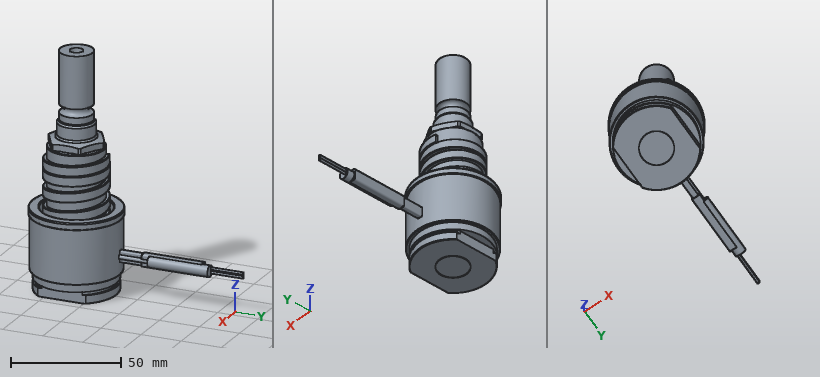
import cadquery as cq
import math

TOTAL_HEIGHT = 116.3
FOOT_TOP = 0.3
CLAMP_DISC_TOP = 4.5
CLAMP_NECK_TOP = 6.3
HOUSING_BOTTOM = 10.2
FLANGE_BOTTOM = 37.2
FLANGE_TOP = 40.5
BARREL_TOP = 70.2
NUT_BOTTOM = 70.8
NUT_CORNER_TOP = 73.6
NUT_TOP = 74.9
SLEEVE_BOTTOM = 75.8
SLEEVE_TOP = 81.6
SLEEVE_LIP = 82.6
COLLAR_BOTTOM = 83.2
COLLAR_TOP = 86.4
SHAFT_BOTTOM = 90.6

SHAFT_RADIUS = 8.0
GROOVE_RADIUS = 5.2
LIP_RADIUS = 8.3
SLEEVE_RADIUS = 9.1
NUT_FLARE_RADIUS = 9.8
NUT_NECK_RADIUS = 10.9
NUT_CORNER_RADIUS = 13.7
BARREL_RADIUS = 13.6
RECESS_RADIUS = 17.0
HOUSING_RADIUS = 21.5
FLANGE_RADIUS = 22.0
CLAMP_RADIUS = 20.0
CLAMP_NECK_RADIUS = 19.0

NUT_ACROSS_FLATS = 24.3
CLAMP_ACROSS_FLATS = 32.1
EDGE_CHAMFER = 0.3
FLANGE_CHAMFER_HEIGHT = 0.7
RECESS_CHAMFER = 0.5

BORE_RADIUS = 3.1
BORE_DEPTH = 17.5
BORE_FLOOR_RADIUS = 1.4
BORE_TIP_HEIGHT = 1.4

SPRING_RADIUS = 15.4
SPRING_EMBED = 0.2
WIRE_HEIGHT = 4.9
WIRE_CHAMFER = 0.3
SPRING_TOP = 66.6
SPRING_END_ANGLE = 107.0
CLOSED_PITCH = 5.0
OPEN_PITCH = 9.3
UPPER_SEAM_ANGLE = -120.0
LOWER_SEAM_ANGLE = -78.0
UPPER_CLOSED_TURNS = 1 + (SPRING_END_ANGLE - UPPER_SEAM_ANGLE) / 360
OPEN_TURNS = 2 - (LOWER_SEAM_ANGLE - UPPER_SEAM_ANGLE) / 360
LOWER_CLOSED_TURNS = 1.0
SPRING_DROP = CLOSED_PITCH * (UPPER_CLOSED_TURNS + LOWER_CLOSED_TURNS) + OPEN_PITCH * OPEN_TURNS
RECESS_FLOOR = SPRING_TOP - SPRING_DROP - WIRE_HEIGHT

CABLE_HEIGHT = 19.3
WIRE_END = 82.6
TUBE_END = 66.5
JACKET_END = 62.7
TUBE_LENGTH = 30.0
TUBE_RADIUS = 2.8
CORE_RADIUS = 1.0
FLAT_CABLE_X = -1.4
FLAT_CABLE_WIDTH = 2.8
FLAT_CABLE_CORNER = 0.6
JACKET_WIDTH = 4.1
JACKET_DEPTH = 6.3
JACKET_CORNER = 1.0
LEAD_RADIUS = 0.64
LEAD_SPACING = 1.9
CABLE_EMBED = 2.3
CABLE_START = HOUSING_RADIUS - CABLE_EMBED


def cylinder(radius, bottom, top):
    return cq.Workplane("XY").workplane(offset=bottom).circle(radius).extrude(top - bottom)


def make_shaft():
    """Shaft, half-round groove, collar, sleeve and barrel turned in one profile."""
    groove_arc = (SHAFT_BOTTOM - COLLAR_TOP) / 2
    groove_shoulder = GROOVE_RADIUS + groove_arc
    profile = (
        cq.Workplane("XZ")
        .moveTo(0, TOTAL_HEIGHT)
        .lineTo(SHAFT_RADIUS, TOTAL_HEIGHT)
        .lineTo(SHAFT_RADIUS, SHAFT_BOTTOM)
        .lineTo(groove_shoulder, SHAFT_BOTTOM)
        .threePointArc((GROOVE_RADIUS, COLLAR_TOP + groove_arc), (groove_shoulder, COLLAR_TOP))
        .lineTo(SHAFT_RADIUS, COLLAR_TOP)
        .lineTo(SHAFT_RADIUS, COLLAR_BOTTOM)
        .lineTo(LIP_RADIUS, SLEEVE_LIP)
        .lineTo(SLEEVE_RADIUS, SLEEVE_TOP)
        .lineTo(SLEEVE_RADIUS, SLEEVE_BOTTOM)
        .lineTo(NUT_FLARE_RADIUS, NUT_TOP)
        .lineTo(NUT_FLARE_RADIUS, NUT_BOTTOM)
        .lineTo(NUT_NECK_RADIUS, NUT_BOTTOM)
        .lineTo(NUT_NECK_RADIUS, BARREL_TOP)
        .lineTo(BARREL_RADIUS - EDGE_CHAMFER, BARREL_TOP)
        .lineTo(BARREL_RADIUS, BARREL_TOP - EDGE_CHAMFER)
        .lineTo(BARREL_RADIUS, RECESS_FLOOR)
        .lineTo(0, RECESS_FLOOR)
        .close()
    )
    return profile.revolve(360, (0, 0, 0), (0, 1, 0))


def make_nut():
    """Hexagon with flats facing +X and -X, its corners and top turned down."""
    hexagon = (
        cq.Workplane("XY")
        .workplane(offset=NUT_BOTTOM)
        .polygon(6, NUT_ACROSS_FLATS / math.cos(math.pi / 6))
        .extrude(NUT_TOP - NUT_BOTTOM)
        .rotate((0, 0, 0), (0, 0, 1), 30)
    )
    turned = (
        cq.Workplane("XZ")
        .polyline([
            (0, NUT_BOTTOM),
            (NUT_CORNER_RADIUS, NUT_BOTTOM),
            (NUT_CORNER_RADIUS, NUT_CORNER_TOP),
            (NUT_FLARE_RADIUS, NUT_TOP),
            (0, NUT_TOP),
        ])
        .close()
        .revolve(360, (0, 0, 0), (0, 1, 0))
    )
    return hexagon.intersect(turned)


def make_coil(turns, pitch, end_angle, top):
    """Right-handed coil whose upper end sits at end_angle with its upper face at top."""
    drop = turns * pitch
    inner = BARREL_RADIUS - SPRING_EMBED
    middle = (inner + SPRING_RADIUS) / 2
    path = cq.Workplane(obj=cq.Wire.makeHelix(pitch, drop, middle))
    half_height = WIRE_HEIGHT / 2
    section = cq.Workplane("XZ").polyline([
        (inner, -half_height),
        (SPRING_RADIUS - WIRE_CHAMFER, -half_height),
        (SPRING_RADIUS, -half_height + WIRE_CHAMFER),
        (SPRING_RADIUS, half_height - WIRE_CHAMFER),
        (SPRING_RADIUS - WIRE_CHAMFER, half_height),
        (inner, half_height),
    ]).close()
    coil = section.sweep(path, isFrenet=True)
    start_angle = end_angle - 360 * turns
    lift = top - drop - half_height
    return coil.rotate((0, 0, 0), (0, 0, 1), start_angle).translate((0, 0, lift))


def make_housing():
    """Flanged housing with the recess that takes the lower end of the spring."""
    body = cylinder(HOUSING_RADIUS, HOUSING_BOTTOM, FLANGE_BOTTOM)
    body = body.faces("<Z or >Z").chamfer(EDGE_CHAMFER)
    flange = cylinder(FLANGE_RADIUS, FLANGE_BOTTOM, FLANGE_TOP)
    flange = flange.faces(">Z").chamfer(FLANGE_CHAMFER_HEIGHT, EDGE_CHAMFER)
    mouth = cq.Solid.makeCone(
        RECESS_RADIUS,
        RECESS_RADIUS + RECESS_CHAMFER,
        RECESS_CHAMFER,
        pnt=cq.Vector(0, 0, FLANGE_TOP - RECESS_CHAMFER),
    )
    return body.union(flange).cut(cylinder(RECESS_RADIUS, RECESS_FLOOR, FLANGE_TOP)).cut(mouth)


def make_clamp():
    """Round base ring above a necked disc that has two wrench flats."""
    ring = cylinder(CLAMP_RADIUS, CLAMP_NECK_TOP, HOUSING_BOTTOM)
    disc = cylinder(CLAMP_RADIUS, FOOT_TOP, CLAMP_DISC_TOP).faces("<Z").chamfer(EDGE_CHAMFER)
    neck = cylinder(CLAMP_NECK_RADIUS, CLAMP_DISC_TOP, CLAMP_NECK_TOP)
    flats = cq.Workplane("XY").box(
        CLAMP_ACROSS_FLATS, 2 * CLAMP_RADIUS, CLAMP_NECK_TOP, centered=(True, True, False)
    )
    foot = cylinder(SHAFT_RADIUS, 0, FOOT_TOP)
    return ring.union(disc.union(neck).intersect(flats)).union(foot)


def cable_plane(start, x, z):
    """Workplane across the cable at Y = start, centred on (x, z)."""
    return cq.Workplane("XZ", origin=(x, start, z))


def cable_rod(radius, x, z, start, end):
    return cable_plane(start, x, z).circle(radius).extrude(start - end)


def cable_bar(width, height, corner, start, end):
    bar = cable_plane(start, FLAT_CABLE_X, CABLE_HEIGHT).rect(width, height).extrude(start - end)
    return bar.edges("|Y").fillet(corner)


def make_cable():
    """Flat cable with its jacket, a round tube beside it and two thin leads."""
    tube_start = TUBE_END - TUBE_LENGTH
    jacket_start = JACKET_END - TUBE_LENGTH
    cable = cable_bar(FLAT_CABLE_WIDTH, 2 * TUBE_RADIUS, FLAT_CABLE_CORNER, CABLE_START, jacket_start)
    cable = cable.union(cable_bar(JACKET_WIDTH, JACKET_DEPTH, JACKET_CORNER, jacket_start, JACKET_END))
    cable = cable.union(cable_rod(TUBE_RADIUS, 0, CABLE_HEIGHT, tube_start, TUBE_END))
    cable = cable.union(cable_rod(CORE_RADIUS, 0, CABLE_HEIGHT, CABLE_START, tube_start))
    for side in (-1, 1):
        lead_z = CABLE_HEIGHT + side * LEAD_SPACING / 2
        cable = cable.union(cable_rod(LEAD_RADIUS, FLAT_CABLE_X, lead_z, TUBE_END, WIRE_END))
    return cable


def make_bore():
    """Tapered blind hole with a small conical tip rising from its floor."""
    floor = TOTAL_HEIGHT - BORE_DEPTH
    return (
        cq.Workplane("XZ")
        .polyline([
            (0, TOTAL_HEIGHT),
            (BORE_RADIUS, TOTAL_HEIGHT),
            (BORE_FLOOR_RADIUS, floor),
            (0, floor + BORE_TIP_HEIGHT),
        ])
        .close()
        .revolve(360, (0, 0, 0), (0, 1, 0))
    )


result = make_shaft().union(make_nut()).union(make_housing()).union(make_clamp())

coil_top = SPRING_TOP
for turns, pitch, end_angle in (
    (UPPER_CLOSED_TURNS, CLOSED_PITCH, SPRING_END_ANGLE),
    (OPEN_TURNS, OPEN_PITCH, UPPER_SEAM_ANGLE),
    (LOWER_CLOSED_TURNS, CLOSED_PITCH, LOWER_SEAM_ANGLE),
):
    result = result.union(make_coil(turns, pitch, end_angle, coil_top))
    coil_top -= turns * pitch

result = result.union(make_cable()).cut(make_bore())